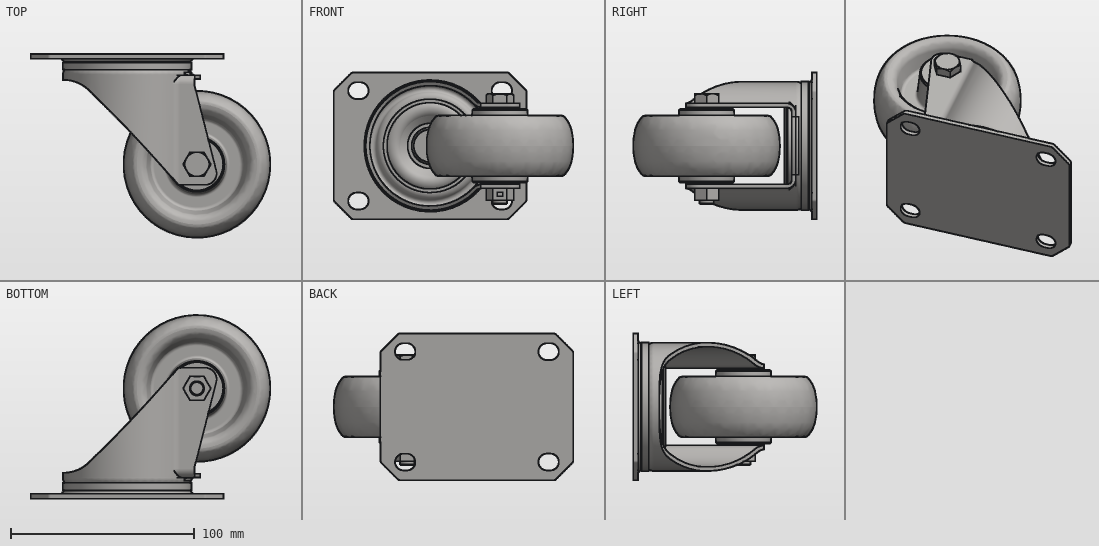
import cadquery as cq
import math


plate_length = 105.0
plate_width = 80.0
plate_thickness = 2.7
plate_corner_cut = 10.0
plate_corner_radius = 2.0
slot_length = 11.0
slot_width = 9.0
slot_spacing_x = 78.0
slot_spacing_z = 60.0

collar_root_radius = 35.9
collar_radius = 34.5
collar_flare_depth = 4.3
seal_radius = 35.1
seal_top_depth = 4.7
seal_bottom_depth = 8.6
cup_radius = 23.5
cup_step_depth = 16.6
cup_lip_depth = 17.9
cup_lip_radius = 20.4
cup_mouth_radius = 16.3
cup_mouth_depth = 16.2
cup_floor_radius = 12.3
cup_floor_depth = 13.3
pin_root_radius = 10.0
pin_end_radius = 8.9
pin_end_depth = 17.0

sheet = 2.2
fork_radius = 35.0
fork_neck_radius = 34.2
fork_top_depth = seal_bottom_depth
fork_shoulder_depth = 11.5
fork_inner_radius = fork_radius - sheet
fork_base_depth = 10.2
groove_radius = 1.8
rim_shoulder_radius = 29.2
rim_shoulder_depth = 11.2
rim_outer_radius = 25.5
rim_root_depth = 13.5
rim_end_depth = 15.9
leg_outer = 23.1
leg_inner = leg_outer - sheet
leg_bend_radius = 5.5
tongue_depth = fork_shoulder_depth
tongue_flare = 1.6
tongue_radius = 39.9
tongue_bend_radius = 4.8
leg_end_depth = 71.3
leg_corner_x = 42.4
leg_corner_radius = 6.3
leg_far_x = 65.2
leg_edge_x = 36.7
leg_edge_depth = 17.1
front_edge_depth = 14.2
front_bulge_x = -26.8
front_bulge_depth = 15.8
front_curve_x = -20.0
front_curve_depth = 20.6
front_middle_x = 2.1
front_middle_depth = 42.8
front_toe_x = 27.7

axle_x = 38.0
axle_depth = 60.0
wheel_diameter = 80.0
wheel_radius = wheel_diameter / 2
wheel_half_width = 16.6
lip_radius = 32.8
dish_wall_angle = 65
dish_wall_radius = 25.2
dish_wall_height = 5.1
web_outer_radius = 23.4
web_half_width = 3.9
web_inner_radius = 17.9
hub_root_radius = 16.3
hub_root_height = 5.4
hub_end_radius = 15.0
hub_half_length = 20.1
hub_chamfer = 0.8
tube_radius = 6.0

bolt_radius = 3.9
hex_flats = 13.0
hex_corner_radius = hex_flats / 2 / math.cos(math.pi / 6)
head_height = 5.2
nut_height = 6.5
bolt_tip_length = 2.1
bolt_tip_chamfer = 0.5
hex_chamfer = 0.9
nut_mark_length = 3.1
nut_mark_width = 2.1
nut_mark_depth = 0.3


def turned_about_swivel(profile):
    """Revolve a closed (radius, -depth) outline about the swivel axis."""
    return profile.close().revolve(360, (0, 0), (0, 1))


def disc_below(depth, radius, height):
    """Cylinder on the swivel axis that starts at a depth and runs toward -Y."""
    return cq.Workplane("XZ", origin=(0, -depth, 0)).circle(radius).extrude(height)


def axle_cylinder(radius, z_start, length):
    """Cylinder on the axle that starts at z_start and runs toward +Z."""
    return cq.Workplane("XY", origin=(axle_x, -axle_depth, z_start)).circle(radius).extrude(length)


def make_plate():
    """Mounting plate with its collar, king pin and lower bearing cup."""
    slab = (
        cq.Workplane("XZ")
        .rect(plate_length, plate_width)
        .extrude(plate_thickness)
        .edges("|Y")
        .chamfer(plate_corner_cut)
        .edges("|Y")
        .fillet(plate_corner_radius)
    )
    slots = (
        cq.Workplane("XZ")
        .rect(slot_spacing_x, slot_spacing_z, forConstruction=True)
        .vertices()
        .slot2D(slot_length, slot_width)
        .extrude(plate_thickness)
    )
    swivel_core = turned_about_swivel(
        cq.Workplane("XY")
        .moveTo(0, -plate_thickness)
        .lineTo(collar_root_radius, -plate_thickness)
        .lineTo(collar_radius, -collar_flare_depth)
        .lineTo(collar_radius, -seal_top_depth)
        .lineTo(cup_radius, -seal_top_depth)
        .lineTo(cup_radius, -cup_step_depth)
        .threePointArc((cup_lip_radius, -cup_lip_depth), (cup_mouth_radius, -cup_mouth_depth))
        .lineTo(cup_floor_radius, -cup_floor_depth)
        .lineTo(pin_root_radius, -cup_floor_depth)
        .lineTo(pin_end_radius, -pin_end_depth)
        .lineTo(0, -pin_end_depth)
    )
    return slab.cut(slots).union(swivel_core)


def make_seal_ring():
    """Ring between the plate collar and the fork."""
    ring_height = seal_bottom_depth - seal_top_depth
    return disc_below(seal_top_depth, seal_radius, ring_height).cut(
        disc_below(seal_top_depth, cup_radius, ring_height)
    )


def keyhole_prism(radius, half_width, bend_radius, top_depth, top_fillet):
    """Round head joined to a straight channel toward +X, with rounded corners and top edge."""
    height = leg_end_depth - top_depth
    channel = cq.Workplane("XY").box(leg_far_x, height, 2 * half_width, centered=(False, False, True))
    prism = disc_below(top_depth, radius, height).union(channel.translate((0, -leg_end_depth, 0)))
    prism = prism.edges("|Y and (not >X)").fillet(bend_radius)
    return prism.faces(">Y").edges("not >X").fillet(top_fillet)


def fork_side_outline():
    """Outline of the fork seen along the axle, as a block across the whole width."""
    corner_depth = leg_end_depth - leg_corner_radius
    rise = corner_depth - leg_edge_depth
    run = leg_corner_x - leg_edge_x
    tangent_angle = math.atan2(rise, -run) - math.acos(leg_corner_radius / math.hypot(rise, run))
    middle_angle = (tangent_angle - math.pi / 2) / 2

    def on_corner(angle):
        return (
            leg_corner_x + leg_corner_radius * math.cos(angle),
            -corner_depth + leg_corner_radius * math.sin(angle),
        )

    outline = (
        cq.Workplane("XY", origin=(0, 0, -fork_radius))
        .moveTo(-fork_radius, -fork_top_depth)
        .lineTo(-fork_radius, -front_edge_depth)
        .threePointArc((front_bulge_x, -front_bulge_depth), (front_curve_x, -front_curve_depth))
        .threePointArc((front_middle_x, -front_middle_depth), (front_toe_x, -leg_end_depth))
        .lineTo(leg_corner_x, -leg_end_depth)
        .threePointArc(on_corner(middle_angle), on_corner(tangent_angle))
        .lineTo(leg_edge_x, -leg_edge_depth)
        .lineTo(leg_edge_x, -fork_top_depth)
        .close()
    )
    return outline.extrude(2 * fork_radius)


def make_tongue():
    """Round-ended tongue between the tops of the legs, flared into the wall of the head."""
    half_width = math.sqrt(tongue_radius**2 - leg_edge_x**2)
    flare_top_depth = tongue_depth - tongue_flare
    disc = turned_about_swivel(
        cq.Workplane("XY")
        .moveTo(fork_inner_radius, -tongue_depth - sheet)
        .lineTo(tongue_radius, -tongue_depth - sheet)
        .lineTo(tongue_radius, -tongue_depth)
        .lineTo(fork_radius + tongue_flare, -tongue_depth)
        .tangentArcPoint((fork_radius, -flare_top_depth), relative=False)
        .lineTo(fork_inner_radius, -flare_top_depth)
    )
    strip = cq.Workplane("XY").box(
        tongue_radius, 2 * tongue_radius, 2 * half_width, centered=(False, True, True)
    )
    return disc.intersect(strip)


def make_fork():
    """Pressed sheet fork: round head, tongue and two legs."""
    head_end_depth = tongue_depth + tongue_bend_radius
    head_outside = turned_about_swivel(
        cq.Workplane("XY")
        .moveTo(0, -fork_top_depth)
        .lineTo(0, -head_end_depth)
        .lineTo(fork_radius, -head_end_depth)
        .lineTo(fork_radius, -fork_shoulder_depth)
        .tangentArcPoint((fork_neck_radius, -fork_top_depth), relative=False)
    )
    head_inside = disc_below(fork_base_depth, fork_inner_radius, head_end_depth - fork_base_depth)
    head_inside = head_inside.faces(">Y").edges().fillet(groove_radius)
    legs_outside = keyhole_prism(
        fork_radius, leg_outer, leg_bend_radius, tongue_depth, tongue_bend_radius
    )
    legs_inside = keyhole_prism(
        fork_inner_radius,
        leg_inner,
        leg_bend_radius + sheet,
        tongue_depth + sheet,
        tongue_bend_radius - sheet,
    )
    groove_floor_radius = fork_inner_radius - groove_radius
    floor = turned_about_swivel(
        cq.Workplane("XY")
        .moveTo(cup_radius, -fork_top_depth)
        .lineTo(fork_inner_radius, -fork_top_depth)
        .lineTo(fork_inner_radius, -fork_base_depth)
        .lineTo(groove_floor_radius, -fork_base_depth)
        .tangentArcPoint((rim_shoulder_radius, -rim_shoulder_depth), relative=False)
        .tangentArcPoint((rim_outer_radius, -rim_root_depth), relative=False)
        .lineTo(rim_outer_radius, -rim_end_depth)
        .lineTo(cup_radius, -rim_end_depth)
    )
    shell = head_outside.union(legs_outside).cut(head_inside).cut(legs_inside)
    cup_hole = disc_below(0, cup_radius, leg_end_depth)
    axle_hole = axle_cylinder(bolt_radius, -leg_outer, 2 * leg_outer)
    shell = shell.intersect(fork_side_outline()).union(make_tongue()).union(floor)
    return shell.cut(cup_hole).cut(axle_hole)


def make_wheel():
    """Wheel with a crowned tread, dished sides and a hub bored for the axle tube."""
    wall_angle = math.radians(dish_wall_angle)
    flat_inward = (-1, 0)
    down_the_wall = (-math.cos(wall_angle), -math.sin(wall_angle))

    def on_tread(angle):
        """Point of the elliptic tread, from the equator at 0 to the lip at a right angle."""
        radius = lip_radius + (wheel_radius - lip_radius) * math.cos(angle)
        return (radius, wheel_half_width * math.sin(angle))

    tread_points = [on_tread(math.radians(angle)) for angle in (22.5, 45, 67.5, 90)]
    half = (
        cq.Workplane("XZ")
        .moveTo(tube_radius, 0)
        .lineTo(wheel_radius, 0)
        .spline(tread_points, tangents=[(0, 1), flat_inward], includeCurrent=True)
        .spline(
            [(dish_wall_radius, dish_wall_height)],
            tangents=[flat_inward, down_the_wall],
            includeCurrent=True,
        )
        .tangentArcPoint((web_outer_radius, web_half_width), relative=False)
        .lineTo(web_inner_radius, web_half_width)
        .tangentArcPoint((hub_root_radius, hub_root_height), relative=False)
        .lineTo(hub_end_radius, hub_half_length - hub_chamfer)
        .lineTo(hub_end_radius - hub_chamfer, hub_half_length)
        .lineTo(tube_radius, hub_half_length)
        .close()
        .revolve(360, (0, 0), (0, 1))
    )
    wheel = half.union(half.mirror("XY"))
    return wheel.translate((axle_x, -axle_depth, 0))


def make_axle_tube():
    """Tube through the hub that spaces the two fork legs."""
    return axle_cylinder(tube_radius, -leg_inner, 2 * leg_inner).cut(
        axle_cylinder(bolt_radius, -leg_inner, 2 * leg_inner)
    )


def hex_prism(z_start, height):
    """Hexagon on the axle with two corners along X."""
    return (
        cq.Workplane("XY", origin=(axle_x, -axle_depth, z_start))
        .polygon(6, 2 * hex_corner_radius)
        .extrude(height)
    )


def make_bolt():
    """Axle bolt with its head above the +Z leg and its tip below the nut."""
    head = hex_prism(leg_outer, head_height)
    crown = (
        axle_cylinder(hex_corner_radius, leg_outer, head_height)
        .faces(">Z")
        .chamfer(hex_chamfer)
    )
    tip_z = -leg_outer - nut_height - bolt_tip_length
    shank = axle_cylinder(bolt_radius, tip_z, leg_outer - tip_z).faces("<Z").chamfer(bolt_tip_chamfer)
    return head.intersect(crown).union(shank)


def make_nut():
    """Hexagon nut under the -Z leg with a shallow mark on its -Y flat."""
    nut = hex_prism(-leg_outer - nut_height, nut_height)
    nut = nut.cut(axle_cylinder(bolt_radius, -leg_outer - nut_height, nut_height))
    mark = cq.Workplane("XY").box(nut_mark_length, 2 * nut_mark_depth, nut_mark_width)
    mark_center = (axle_x, -axle_depth - hex_flats / 2, -leg_outer - nut_height / 2)
    return nut.cut(mark.translate(mark_center))


plate = make_plate()
seal_ring = make_seal_ring()
fork = make_fork()
wheel = make_wheel()
axle_tube = make_axle_tube()
bolt = make_bolt()
nut = make_nut()

result = cq.Compound.makeCompound(
    [
        plate.val(),
        seal_ring.val(),
        fork.val(),
        wheel.val(),
        axle_tube.val(),
        bolt.val(),
        nut.val(),
    ]
)